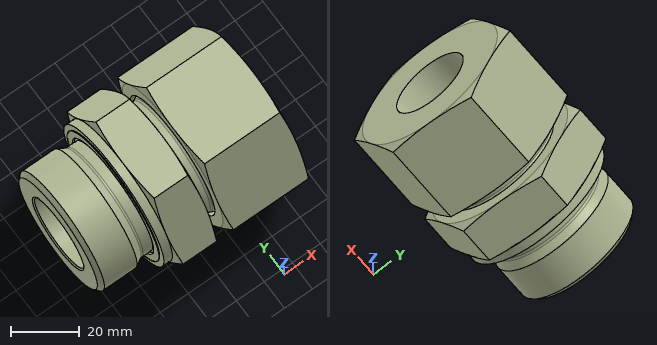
import cadquery as cq
import math

total_length = 70.0
across_flats = 50.0
hex_corner_angle = 15.0

stud_chamfer = 1.5
stud_thread_end = 13.15
stud_collar_face = 19.95
hex_start = 22.95
hex_end = 37.1
neck_relief_end = 40.45
joint_end = 59.5

thread_radius = 21.0
stud_relief_radius = 19.3
neck_relief_radius = 19.5
collar_radius = 24.9
bore_radius = 12.3
bore_chamfer = 0.5
relief_angle = 30.0
relief_fillet = 1.5

seal_face = 19.7
seal_back = 21.1
seal_outer_radius = 22.8
groove_lead_angle = 60.0
seal_inner_radius = 20.2

nut_start = 41.0


def axis_cylinder(start, end, radius):
    """Solid cylinder along X."""
    return cq.Workplane("YZ").workplane(offset=start).circle(radius).extrude(end - start)


def revolve_about_x(profile):
    """Turn a closed (x, radius) profile about the X axis."""
    return profile.revolve(360, (0, 0, 0), (1, 0, 0))


def chamfered_hexagon(start, end):
    """Hexagon along X, flats facing +Z and -Z, both ends turned down to the flats."""
    corner_radius = across_flats / math.sqrt(3)
    flat_radius = across_flats / 2
    setback = (corner_radius - flat_radius) * math.tan(math.radians(hex_corner_angle))
    prism = cq.Workplane("YZ").workplane(offset=start).polygon(6, 2 * corner_radius).extrude(end - start)
    turned_envelope = revolve_about_x(
        cq.Workplane("XY")
        .moveTo(start, 0)
        .lineTo(start, flat_radius)
        .lineTo(start + setback, corner_radius)
        .lineTo(end - setback, corner_radius)
        .lineTo(end, flat_radius)
        .lineTo(end, 0)
        .close()
    )
    return prism.intersect(turned_envelope)


def bore_cutter():
    """Through bore of the fitting body with its countersunk mouth at X = 0."""
    mouth = revolve_about_x(
        cq.Workplane("XY")
        .moveTo(0, 0)
        .lineTo(0, bore_radius + bore_chamfer)
        .lineTo(bore_chamfer, bore_radius)
        .lineTo(bore_chamfer, 0)
        .close()
    )
    return axis_cylinder(0, total_length, bore_radius).union(mouth)


def make_turned_core():
    """Stud thread, relief, grooved collar, neck relief and nut thread, without the bore."""
    slope = math.tan(math.radians(relief_angle))
    fillet_run = relief_fillet * math.sin(math.radians(relief_angle))
    fillet_rise = relief_fillet * (1 - math.cos(math.radians(relief_angle)))

    half_angle = math.radians(relief_angle / 2)
    mid_run = relief_fillet * math.sin(half_angle)
    mid_rise = relief_fillet * (1 - math.cos(half_angle))

    stud_slope_end = stud_thread_end + (thread_radius - stud_relief_radius - fillet_rise) / slope
    stud_relief_start = stud_slope_end + fillet_run

    neck_relief_start = hex_end + fillet_run
    neck_fillet_end = neck_relief_end + fillet_run
    joint_thread_start = neck_fillet_end + (thread_radius - neck_relief_radius - fillet_rise) / slope

    groove_lead_run = (seal_inner_radius - stud_relief_radius) / math.tan(math.radians(groove_lead_angle))

    return revolve_about_x(
        cq.Workplane("XY")
        .moveTo(0, 0)
        .lineTo(0, thread_radius - stud_chamfer)
        .lineTo(stud_chamfer, thread_radius)
        .lineTo(stud_thread_end, thread_radius)
        .lineTo(stud_slope_end, stud_relief_radius + fillet_rise)
        .threePointArc(
            (stud_relief_start - mid_run, stud_relief_radius + mid_rise),
            (stud_relief_start, stud_relief_radius),
        )
        .lineTo(stud_collar_face, stud_relief_radius)
        .lineTo(stud_collar_face + groove_lead_run, seal_inner_radius)
        .lineTo(seal_back, seal_inner_radius)
        .lineTo(seal_back, seal_outer_radius)
        .lineTo(stud_collar_face, seal_outer_radius)
        .lineTo(stud_collar_face, collar_radius)
        .lineTo(hex_end, collar_radius)
        .lineTo(hex_end, neck_relief_radius + fillet_rise)
        .threePointArc(
            (neck_relief_start - mid_run, neck_relief_radius + mid_rise),
            (neck_relief_start, neck_relief_radius),
        )
        .lineTo(neck_relief_end, neck_relief_radius)
        .threePointArc(
            (neck_relief_end + mid_run, neck_relief_radius + mid_rise),
            (neck_fillet_end, neck_relief_radius + fillet_rise),
        )
        .lineTo(joint_thread_start, thread_radius)
        .lineTo(joint_end, thread_radius)
        .lineTo(joint_end, 0)
        .close()
    )


def make_fitting_body():
    return make_turned_core().union(chamfered_hexagon(hex_start, hex_end)).cut(bore_cutter())


def make_seal_ring():
    """Plain ring in the collar groove, standing slightly proud of the collar face."""
    return axis_cylinder(seal_face, seal_back, seal_outer_radius).cut(
        axis_cylinder(seal_face, seal_back, seal_inner_radius)
    )


def make_union_nut():
    return (
        chamfered_hexagon(nut_start, total_length)
        .cut(axis_cylinder(nut_start, joint_end, thread_radius))
        .cut(axis_cylinder(joint_end, total_length, bore_radius))
    )


fitting_body = make_fitting_body()
seal_ring = make_seal_ring()
union_nut = make_union_nut()

result = cq.Compound.makeCompound([fitting_body.val(), seal_ring.val(), union_nut.val()])